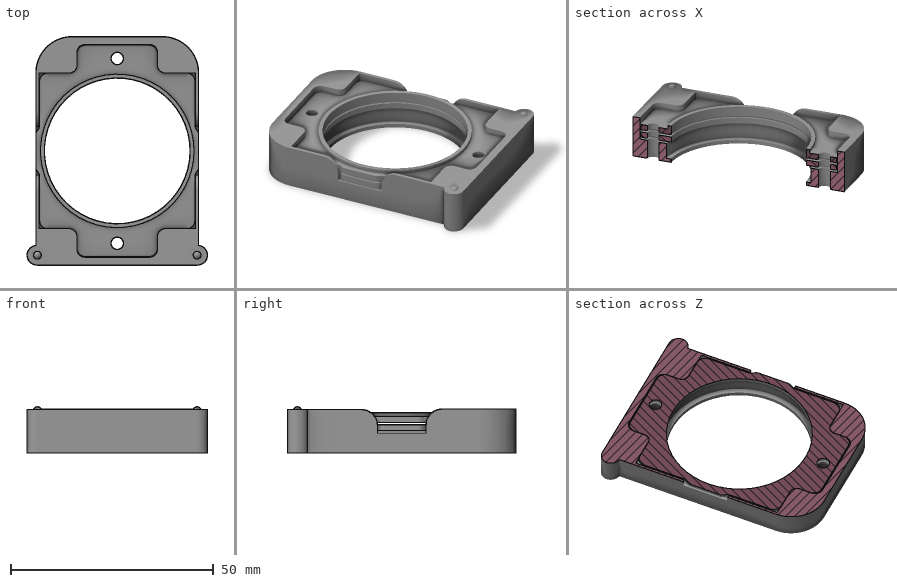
import cadquery as cq
import math

length = 56.45
width = 40.2
rear_height = 10.9
front_height = 10.8
corner_radius = 9.0

lobe_span = 44.6
lobe_radius = 2.6
lobe_crease = 0.1
lobe_y = -length / 2 + lobe_radius - lobe_crease
lobe_x = lobe_span / 2 - math.sqrt(lobe_radius**2 - lobe_crease**2)
nib_radius = 1.0
nib_rise = 0.7

pocket_width = 38.6
pocket_length = 38.4
pocket_bay_width = 19.85
pocket_bay_length = 52.5
pocket_floor = 5.0
bend_radius = 2.0

opening_diameter = 35.9
bore_diameter = 38.4
bore_floor = 1.0

notch_half_width = 6.0
notch_radius = 4.0

plate_clearance = 0.15
plate_thickness = 1.5
lower_plate_base = 5.5
upper_plate_base = 7.5
tab_half_width = 3.9
rim_diameter = 37.9
rim_top = 10.0
hole_diameter = 3.0
hole_y = 22.8

overcut = 0.55


def cross_prism(body_width, body_length, bay_width, bay_length, base, top):
    """Rectangle with a narrower bay at each Y end; the bay corners, inner and outer, are rounded."""
    plane = cq.Workplane("XY", origin=(0, 0, base))
    body = plane.rect(body_width, body_length).extrude(top - base)
    bay = plane.rect(bay_width, bay_length).extrude(top - base)
    bay_corners = cq.selectors.BoxSelector(
        (-body_width / 2 + bend_radius, -bay_length, base),
        (body_width / 2 - bend_radius, bay_length, top),
    )
    return body.union(bay).edges("|Z").edges(bay_corners).fillet(bend_radius)


def vertical_cylinder(diameter, base, top, y=0.0):
    return cq.Workplane("XY", origin=(0, y, base)).circle(diameter / 2).extrude(top - base)


def mounting_holes(base, top):
    return vertical_cylinder(hole_diameter, base, top, hole_y).union(
        vertical_cylinder(hole_diameter, base, top, -hole_y)
    )


def make_notch():
    """Cutter through both side walls, its upper edges flaring out to the two top faces."""
    flare_half_width = notch_half_width + notch_radius
    diagonal = notch_radius * math.sqrt(0.5)
    rear_arc_z = rear_height - notch_radius
    front_arc_z = front_height - notch_radius
    profile = (
        cq.Workplane("YZ", origin=(-width, 0, 0))
        .moveTo(-notch_half_width, pocket_floor)
        .lineTo(notch_half_width, pocket_floor)
        .lineTo(notch_half_width, rear_arc_z)
        .threePointArc(
            (flare_half_width - diagonal, rear_arc_z + diagonal), (flare_half_width, rear_height)
        )
        .lineTo(flare_half_width, rear_height + overcut)
        .lineTo(-flare_half_width, rear_height + overcut)
        .lineTo(-flare_half_width, front_height)
        .threePointArc(
            (diagonal - flare_half_width, front_arc_z + diagonal), (-notch_half_width, front_arc_z)
        )
        .close()
    )
    return profile.extrude(2 * width)


def make_lobe():
    """Overlap of two cylinders set slightly apart along Y."""
    front_arc = vertical_cylinder(2 * lobe_radius, 0, front_height, lobe_crease)
    rear_arc = vertical_cylinder(2 * lobe_radius, 0, front_height, -lobe_crease)
    return front_arc.intersect(rear_arc)


def make_nib():
    """Spherical cap standing on the front top face, with its buried part inside the lobe."""
    centre_z = front_height + nib_rise - nib_radius
    return cq.Workplane("XY", origin=(0, 0, centre_z)).sphere(nib_radius)


def make_block():
    """Outer block: rounded rear corners, a slightly lower front half and square cut-outs for the lobes."""
    block = cq.Workplane("XY").rect(width, length).extrude(rear_height)
    block = block.edges("|Z and >Y").fillet(corner_radius)
    front_step = (
        cq.Workplane("XY", origin=(0, -length / 2, front_height))
        .rect(width, length)
        .extrude(rear_height - front_height)
    )
    lobe_seats = (
        cq.Workplane("XY")
        .pushPoints([(-width / 2, -length / 2), (width / 2, -length / 2)])
        .rect(width - 2 * lobe_x, 2 * lobe_radius)
        .extrude(front_height)
    )
    return block.cut(front_step).cut(lobe_seats)


def make_housing():
    body = make_block()
    for x in (-lobe_x, lobe_x):
        body = body.union(make_lobe().translate((x, lobe_y, 0)))
        body = body.union(make_nib().translate((x, lobe_y, 0)))

    pocket = cross_prism(
        pocket_width, pocket_length, pocket_bay_width, pocket_bay_length, pocket_floor, rear_height
    )
    body = body.cut(pocket).cut(make_notch())
    body = body.cut(vertical_cylinder(bore_diameter, bore_floor, pocket_floor))
    body = body.cut(vertical_cylinder(opening_diameter, 0, bore_floor))
    return body.cut(mounting_holes(0, pocket_floor))


def make_side_tabs(plate_width, base):
    """Bar across the plate whose ends swing out to the housing sides in S-curves of two equal arcs."""
    rise = (width - plate_width) / 2
    bend_angle = math.acos(1 - rise / 2 / bend_radius)
    bend_run = bend_radius * math.sin(bend_angle)
    half_run = bend_radius * math.sin(bend_angle / 2)
    half_rise = bend_radius * (1 - math.cos(bend_angle / 2))
    tab_x = width / 2
    root_x = plate_width / 2
    mid_y = tab_half_width + bend_run
    root_y = tab_half_width + 2 * bend_run
    right_tab = (
        cq.Workplane("XY", origin=(0, 0, base))
        .moveTo(0, -root_y)
        .lineTo(root_x, -root_y)
        .threePointArc((root_x + half_rise, half_run - root_y), (root_x + rise / 2, -mid_y))
        .threePointArc((tab_x - half_rise, -tab_half_width - half_run), (tab_x, -tab_half_width))
        .lineTo(tab_x, tab_half_width)
        .threePointArc((tab_x - half_rise, tab_half_width + half_run), (root_x + rise / 2, mid_y))
        .threePointArc((root_x + half_rise, root_y - half_run), (root_x, root_y))
        .lineTo(0, root_y)
        .close()
        .extrude(plate_thickness)
    )
    return right_tab.union(right_tab.mirror("YZ"))


def make_plate(base):
    top = base + plate_thickness
    plate_width = pocket_width - 2 * plate_clearance
    plate = cross_prism(
        plate_width,
        pocket_length,
        pocket_bay_width,
        pocket_bay_length - 2 * plate_clearance,
        base,
        top,
    )
    plate = plate.edges("|Z").edges("<X or >X").fillet(bend_radius)
    plate = plate.union(make_side_tabs(plate_width, base))
    plate = plate.cut(vertical_cylinder(opening_diameter, base, top))
    return plate.cut(mounting_holes(base, top))


def make_upper_plate():
    plate = make_plate(upper_plate_base)
    plate_top = upper_plate_base + plate_thickness
    rim = vertical_cylinder(rim_diameter, plate_top, rim_top)
    return plate.union(rim.cut(vertical_cylinder(opening_diameter, plate_top, rim_top)))


housing = make_housing()
lower_plate = make_plate(lower_plate_base)
upper_plate = make_upper_plate()

result = cq.Compound.makeCompound([housing.val(), lower_plate.val(), upper_plate.val()])